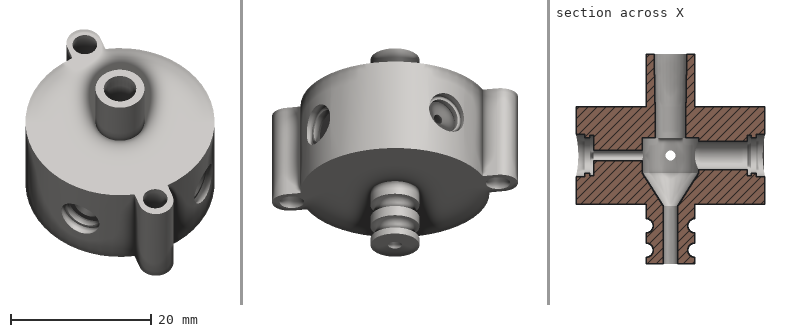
import cadquery as cq
import math

total_height = 30.0
body_height = 14.0
body_diameter = 27.0
stem_diameter = 7.0
spigot_height = 8.5
body_middle = spigot_height + body_height / 2

groove_radius = 1.0
end_collar_height = 1.0
middle_collar_height = 1.5
lower_groove_height = end_collar_height + groove_radius
upper_groove_height = lower_groove_height + 2 * groove_radius + middle_collar_height

ear_angles = (135.0, 315.0)
ear_width = 5.0
ear_end_distance = 15.33
ear_hole_diameter = 3.5
ear_hole_distance = 15.0

inlet_top_diameter = 4.65
inlet_diameter = 4.35
inlet_taper_length = total_height - spigot_height - body_height
chamber_diameter = 8.0
chamber_height = 5.0
chamber_top = body_middle + chamber_height / 2
chamber_bottom = body_middle - chamber_height / 2
cone_angle = 65.0
outlet_diameter = 2.0
cone_height = (chamber_diameter - outlet_diameter) / 2 / math.tan(math.radians(cone_angle / 2))

port_mouth_diameter = 6.0
port_mouth_depth = 1.2
port_lip_diameter = 5.0
port_lip_depth = 2.0
port_groove_diameter = 5.7
port_groove_depth = 2.5
wide_passage_diameter = 4.0
orifice_diameter = 1.4
ports = (
    (270.0, wide_passage_diameter),
    (0.0, orifice_diameter),
    (90.0, orifice_diameter),
)


def rod(diameter, height, bottom=0.0):
    """Vertical cylinder on the Z axis."""
    return cq.Workplane("XY").workplane(offset=bottom).circle(diameter / 2).extrude(height)


def turned(shape, angle):
    """Shape rotated about the Z axis."""
    return shape.rotate((0, 0, 0), (0, 0, 1), angle)


def ear(angle):
    """Round-ended ear reaching outward from the body axis."""
    base = cq.Workplane("XY").workplane(offset=spigot_height)
    bar = base.center(ear_end_distance / 2, 0).rect(ear_end_distance, ear_width).extrude(body_height)
    end = rod(ear_width, body_height, spigot_height).translate((ear_end_distance, 0, 0))
    return turned(bar.union(end), angle)


def ear_hole(angle):
    """Through hole near the end of an ear."""
    hole = rod(ear_hole_diameter, body_height, spigot_height)
    return turned(hole.translate((ear_hole_distance, 0, 0)), angle)


def spigot_groove(height):
    """Ring of round section centred on the spigot surface."""
    ring = cq.Solid.makeTorus(stem_diameter / 2, groove_radius, cq.Vector(0, 0, height))
    return cq.Workplane("XY").add(ring)


def central_passage():
    """Revolved void running through the whole part along Z."""
    return (
        cq.Workplane("XZ")
        .lineTo(outlet_diameter / 2, 0)
        .lineTo(outlet_diameter / 2, chamber_bottom - cone_height)
        .lineTo(chamber_diameter / 2, chamber_bottom)
        .lineTo(chamber_diameter / 2, chamber_top)
        .lineTo(inlet_diameter / 2, chamber_top)
        .lineTo(inlet_diameter / 2, total_height - inlet_taper_length)
        .lineTo(inlet_top_diameter / 2, total_height)
        .lineTo(0, total_height)
        .close()
        .revolve(360, (0, 0, 0), (0, 1, 0))
    )


def port(angle, passage_diameter):
    """Hole from the body wall to the chamber, with a lip and an undercut groove behind it."""
    steps = (
        (port_mouth_diameter, 0.0, port_mouth_depth),
        (port_lip_diameter, port_mouth_depth, port_lip_depth),
        (port_groove_diameter, port_lip_depth, port_groove_depth),
        (passage_diameter, port_groove_depth, body_diameter / 2),
    )
    cutter = cq.Workplane("YZ")
    for diameter, near, far in steps:
        step = cq.Workplane("YZ").workplane(offset=body_diameter / 2 - far)
        cutter = cutter.union(step.circle(diameter / 2).extrude(far - near))
    return turned(cutter.translate((0, 0, body_middle)), angle)


stem = rod(stem_diameter, total_height)
body = rod(body_diameter, body_height, spigot_height)
result = stem.union(body)

for angle in ear_angles:
    result = result.union(ear(angle)).cut(ear_hole(angle))

for height in (lower_groove_height, upper_groove_height):
    result = result.cut(spigot_groove(height))

result = result.cut(central_passage())
for angle, passage_diameter in ports:
    result = result.cut(port(angle, passage_diameter))